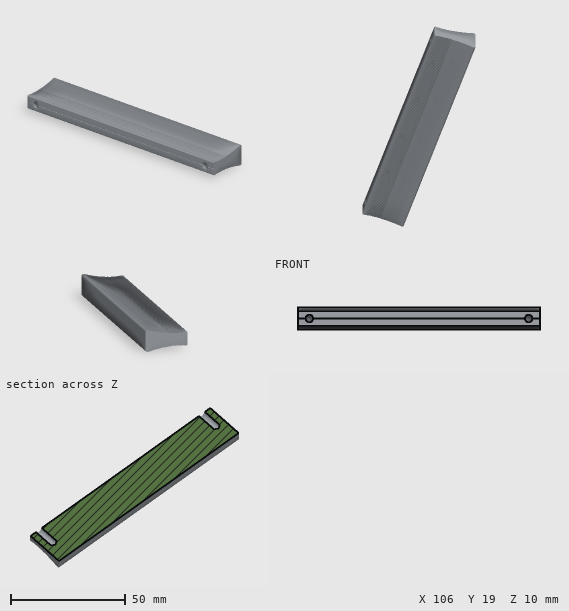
import cadquery as cq
import math

LENGTH = 106.0
DEPTH = 19.0
BACK_HEIGHT = 10.0

FLANK_RADIUS = 41.7
WAIST_Y = -4.5
BACK_ROUND = 0.9
FRONT_ROUND = 0.4

SERRATION_FRONT_Y = -7.7
SERRATED_WIDTH = 6.6
SERRATION_COUNT = 26
SERRATION_DEPTH = 0.16

GROOVE_WIDTH = 0.3
GROOVE_DEPTH = 0.16
HOLE_DIAMETER = 3.3
HOLE_DEPTH = 10.0
HOLE_END_MARGIN = 5.0
DRILL_TIP_ANGLE = 118.0

FRONT_Y = -DEPTH / 2
BACK_Y = DEPTH / 2
SERRATION_BACK_Y = SERRATION_FRONT_Y + SERRATED_WIDTH
SERRATION_PITCH = SERRATED_WIDTH / SERRATION_COUNT

BACK_ROUND_Y = BACK_Y - BACK_ROUND
BACK_ROUND_Z = BACK_HEIGHT / 2 - BACK_ROUND
BACK_CENTRE_RISE = math.sqrt((FLANK_RADIUS + BACK_ROUND) ** 2 - (BACK_ROUND_Y - WAIST_Y) ** 2)
FLANK_CENTRE_Z = BACK_ROUND_Z + BACK_CENTRE_RISE

FRONT_ROUND_Y = FRONT_Y + FRONT_ROUND
FRONT_CENTRE_RISE = math.sqrt((FLANK_RADIUS + FRONT_ROUND) ** 2 - (FRONT_ROUND_Y - WAIST_Y) ** 2)
FRONT_ROUND_Z = FLANK_CENTRE_Z - FRONT_CENTRE_RISE


def flank_point(y, depth=0.0):
    """Point at y on the upper flank arc, sunk vertically by depth."""
    return y, FLANK_CENTRE_Z - math.sqrt(FLANK_RADIUS**2 - (y - WAIST_Y) ** 2) - depth


def round_points(centre_y, centre_z, radius, start_angle):
    """Start, middle and end of an edge round, from the front or back face to the flank."""
    end_angle = math.atan2(FLANK_CENTRE_Z - centre_z, WAIST_Y - centre_y)
    angles = (start_angle, (start_angle + end_angle) / 2, end_angle)
    return [(centre_y + radius * math.cos(a), centre_z + radius * math.sin(a)) for a in angles]


def upper_half():
    """Bar above its mid-plane, without serrations."""
    front = round_points(FRONT_ROUND_Y, FRONT_ROUND_Z, FRONT_ROUND, math.pi)
    back = round_points(BACK_ROUND_Y, BACK_ROUND_Z, BACK_ROUND, 0.0)
    return (
        cq.Workplane("YZ")
        .moveTo(FRONT_Y, 0)
        .lineTo(*front[0])
        .threePointArc(front[1], front[2])
        .threePointArc(flank_point(WAIST_Y), back[2])
        .threePointArc(back[1], back[0])
        .lineTo(BACK_Y, 0)
        .close()
        .extrude(LENGTH / 2, both=True)
    )


def serrations():
    """Row of V grooves whose crests lie on the upper flank."""
    row = cq.Workplane("YZ").moveTo(*flank_point(SERRATION_FRONT_Y))
    for index in range(SERRATION_COUNT):
        crest_y = SERRATION_FRONT_Y + index * SERRATION_PITCH
        row = row.lineTo(*flank_point(crest_y + SERRATION_PITCH / 2, SERRATION_DEPTH))
        row = row.lineTo(*flank_point(crest_y + SERRATION_PITCH))
    row = row.lineTo(SERRATION_BACK_Y, BACK_HEIGHT).lineTo(SERRATION_FRONT_Y, BACK_HEIGHT).close()
    return row.extrude(LENGTH / 2, both=True)


def centre_groove():
    """V groove along the middle of the front face."""
    corners = [
        (FRONT_Y, -GROOVE_WIDTH / 2),
        (FRONT_Y + GROOVE_DEPTH, 0),
        (FRONT_Y, GROOVE_WIDTH / 2),
    ]
    return cq.Workplane("YZ").polyline(corners).close().extrude(LENGTH / 2, both=True)


def drilled_hole(x):
    """Blind hole with a conical drill tip, entering the front face at x."""
    radius = HOLE_DIAMETER / 2
    wall_end_y = FRONT_Y + HOLE_DEPTH
    tip_length = radius / math.tan(math.radians(DRILL_TIP_ANGLE / 2))
    half_section = [
        (x, FRONT_Y),
        (x + radius, FRONT_Y),
        (x + radius, wall_end_y),
        (x, wall_end_y + tip_length),
    ]
    return cq.Workplane("XY").polyline(half_section).close().revolve(360, (x, 0, 0), (x, 1, 0))


half = upper_half().cut(serrations())
result = half.union(half.mirror("XY")).clean()
result = result.cut(centre_groove())
for side in (-1, 1):
    result = result.cut(drilled_hole(side * (LENGTH / 2 - HOLE_END_MARGIN)))